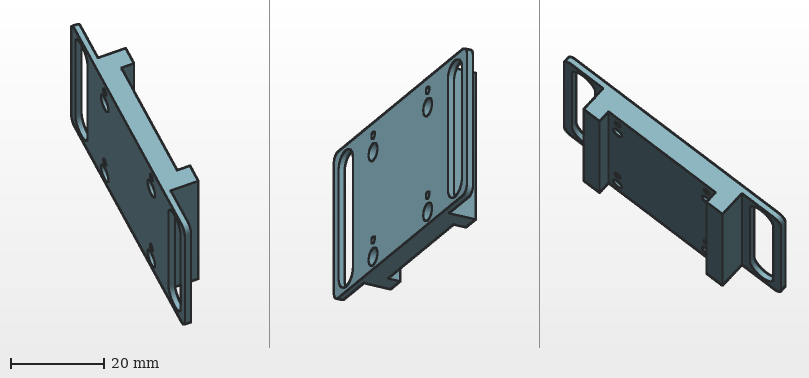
import cadquery as cq

plate_length = 61.0
plate_height = 35.0
plate_thickness = 1.5
corner_radius = 2.0

total_depth = 8.0
block_length = 39.0
channel_width = 30.0
channel_depth = 3.0

slot_width = 6.5
slot_length = 32.5
slot_spacing = 50.0

hole_spacing = 25.0
pilot_diameter = 1.6
pilot_shift = 2.0
screw_diameter = 2.5
screw_shift = -2.0
counterbore_diameter = 4.0
counterbore_depth = 3.0


def box_between(length, y_front, y_back):
    """Full-height box centred in X and Z, spanning y_front to y_back."""
    depth = y_back - y_front
    middle = (y_front + y_back) / 2
    return cq.Workplane("XY").box(length, depth, plate_height).translate((0, middle, 0))


def front_plane():
    """Plane on the front face; extruding by a negative distance goes into the part."""
    return cq.Workplane("XZ")


def make_body():
    """Round-cornered plate with the channelled block behind it."""
    plate = box_between(plate_length, 0, plate_thickness).edges("|Y").fillet(corner_radius)
    block = box_between(block_length, 0, total_depth)
    channel = box_between(channel_width, total_depth - channel_depth, total_depth)
    return plate.union(block).cut(channel)


def slots():
    """Two vertical slots through the plate, beside the block."""
    return (
        front_plane()
        .rarray(slot_spacing, 1, 2, 1)
        .slot2D(slot_length, slot_width, angle=90)
        .extrude(-plate_thickness)
    )


def hole_pattern(diameter, z_shift, depth):
    """Four round holes on a square, moved by z_shift and drilled from the front face."""
    return (
        front_plane()
        .center(0, z_shift)
        .rarray(hole_spacing, hole_spacing, 2, 2)
        .circle(diameter / 2)
        .extrude(-depth)
    )


result = (
    make_body()
    .cut(slots())
    .cut(hole_pattern(pilot_diameter, pilot_shift, total_depth))
    .cut(hole_pattern(screw_diameter, screw_shift, total_depth))
    .cut(hole_pattern(counterbore_diameter, screw_shift, counterbore_depth))
)